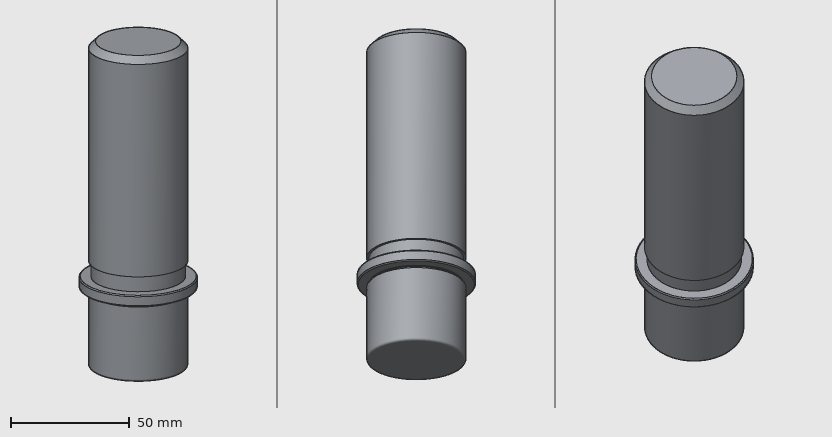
import cadquery as cq


body_diameter = 42.0
neck_diameter = 40.0
collar_diameter = 50.0

total_height = 145.0
collar_bottom = 35.0
collar_thickness = 5.0
upper_neck_height = 7.0
lower_groove_height = 0.5

top_chamfer = 3.0
bottom_fillet = 1.0
collar_chamfer = 0.5

collar_top = collar_bottom + collar_thickness
upper_body_bottom = collar_top + upper_neck_height
shank_top = collar_bottom - lower_groove_height
shank_chamfer = (body_diameter - neck_diameter) / 2


def cylinder(diameter, bottom, top):
    """Solid cylinder on the Z axis between two heights."""
    return cq.Workplane("XY").workplane(offset=bottom).circle(diameter / 2).extrude(top - bottom)


def make_shank():
    """Lower press-fit length, rounded at the foot and chamfered down to the groove."""
    shank = cylinder(body_diameter, 0, shank_top)
    return shank.faces("<Z").edges().fillet(bottom_fillet).faces(">Z").edges().chamfer(shank_chamfer)


def make_neck():
    """Core joining shank, collar and upper body; it forms the relief beside the collar."""
    return cylinder(neck_diameter, shank_top, upper_body_bottom)


def make_collar():
    """Locating collar with both rims chamfered."""
    return cylinder(collar_diameter, collar_bottom, collar_top).edges("%CIRCLE").chamfer(collar_chamfer)


def make_upper_body():
    """Long guiding length with a lead-in chamfer at its top."""
    upper_body = cylinder(body_diameter, upper_body_bottom, total_height)
    return upper_body.faces(">Z").edges().chamfer(top_chamfer)


result = make_shank().union(make_neck()).union(make_collar()).union(make_upper_body())